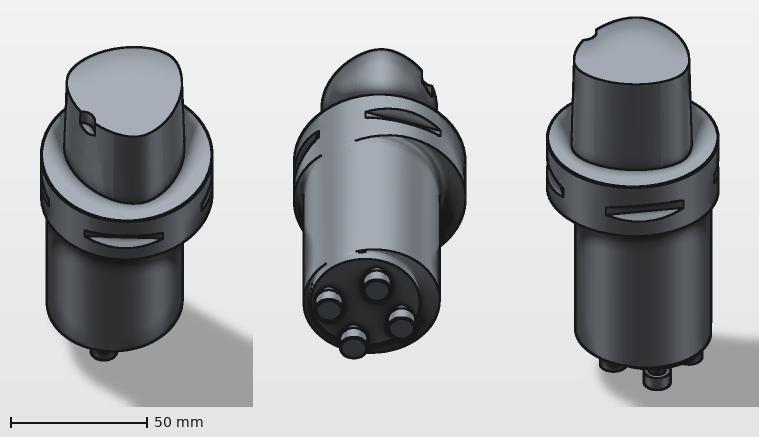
import cadquery as cq
import math

shank_length = 38.0
shank_diameter = 44.2
lobe_eccentricity = 1.4
lobe_count = 3
taper = 1 / 20
lobe_half_angle = 36.0

points_per_edge = 13

notch_diameter = 10.0
notch_wall_y = -17.6
notch_depth = 6.7
notch_tip_angle = 110.0

flange_diameter = 63.0
flange_radius = flange_diameter / 2
flange_chamfer = 0.4
flange_rim_z = -21.9
flange_cone_angle = 10.0
flange_fillet = 4.0

groove_count = 4
groove_floor_distance = 28.0
groove_floor_height = 3.3
groove_center_z = -12.0
groove_flank_angle = 30.0

body_radius = 50.0 / 2
body_x = body_radius - flange_radius
body_rim_z = -89.5
body_cone_angle = 15.0
body_fillet = 1.0
disc_radius = 40.0 / 2
disc_x = disc_radius - flange_radius
disc_bottom_z = -97.0

screw_count = 4
screw_circle_radius = 14.0
screw_diameter = 6.0
screw_head_diameter = 10.0
screw_head_height = 5.7
screw_head_chamfer = 0.4
screw_bottom_z = -107.53


def evenly_spaced_angles(count):
    """Angles in degrees of count features around an axis, the first half a pitch from +X."""
    return [(i + 0.5) * 360 / count for i in range(count)]


def trilobe_wire(z):
    """Closed trilobe outline at height z, one edge for each lobe and each flat side."""
    mean_radius = (shank_diameter - taper * z) / 2
    e = lobe_eccentricity

    def point(angle):
        x = mean_radius * math.cos(angle) - 2 * e * math.cos(2 * angle) + e * math.cos(4 * angle)
        y = mean_radius * math.sin(angle) + 2 * e * math.sin(2 * angle) + e * math.sin(4 * angle)
        return cq.Vector(y, -x, z)

    edges = []
    for lobe_tip in evenly_spaced_angles(lobe_count):
        lobe_start = lobe_tip - lobe_half_angle
        lobe_end = lobe_tip + lobe_half_angle
        next_lobe_start = lobe_start + 360 / lobe_count
        for start, end in ((lobe_start, lobe_end), (lobe_end, next_lobe_start)):
            step = (end - start) / (points_per_edge - 1)
            angles = [math.radians(start + i * step) for i in range(points_per_edge)]
            edges.append(cq.Edge.makeSpline([point(angle) for angle in angles]))
    return cq.Wire.assembleEdges(edges)


def make_shank():
    shank = cq.Solid.makeLoft([trilobe_wire(0), trilobe_wire(shank_length)], True)
    notch_radius = notch_diameter / 2
    tip_height = notch_radius / math.tan(math.radians(notch_tip_angle / 2))
    notch_floor_z = shank_length - notch_depth
    notch = (
        cq.Workplane("XZ")
        .moveTo(0, shank_length)
        .lineTo(notch_radius, shank_length)
        .lineTo(notch_radius, notch_floor_z)
        .lineTo(0, notch_floor_z - tip_height)
        .close()
        .revolve(360, (0, 0, 0), (0, 1, 0))
        .translate((0, notch_wall_y - notch_radius, 0))
    )
    return cq.Workplane(shank).cut(notch)


def cylinder(radius, x, bottom_z, top_z):
    """Vertical cylinder with its seam on the -X side, where the eccentric parts touch."""
    base = cq.Plane(origin=(x, 0, bottom_z), xDir=(-1, 0, 0), normal=(0, 0, 1))
    return cq.Workplane(base).circle(radius).extrude(top_z - bottom_z)


def conical_shoulder(upper_radius, upper_x, lower_radius, lower_x, rim_z, cone_angle, fillet, top_z):
    """Cylinder whose underside is a cone about the offset axis of the next, smaller cylinder.

    A fillet blends the cone into that smaller cylinder. Returns the solid and the height
    at which the fillet meets the smaller cylinder.
    """
    slope = math.radians(cone_angle)
    reach = upper_radius + upper_x - lower_x
    corner_z = rim_z - (reach - lower_radius) * math.tan(slope)
    tangent_length = fillet * math.tan((math.pi / 2 - slope) / 2)
    cone_end = (
        lower_radius + tangent_length * math.cos(slope),
        corner_z + tangent_length * math.sin(slope),
    )
    wall_end = (lower_radius, corner_z - tangent_length)
    center = (lower_radius + fillet, wall_end[1])
    cone_end_angle = math.pi / 2 + slope
    wall_end_angle = math.pi
    middle_angle = (cone_end_angle + wall_end_angle) / 2
    arc_middle = (
        center[0] + fillet * math.cos(middle_angle),
        center[1] + fillet * math.sin(middle_angle),
    )
    coned = (
        cq.Workplane("XZ")
        .moveTo(0, top_z)
        .lineTo(reach, top_z)
        .lineTo(reach, rim_z)
        .lineTo(*cone_end)
        .threePointArc(arc_middle, wall_end)
        .lineTo(0, wall_end[1])
        .close()
        .revolve(360, (0, 0, 0), (0, 1, 0))
        .translate((lower_x, 0, 0))
    )
    return cylinder(upper_radius, upper_x, wall_end[1], top_z).intersect(coned), wall_end[1]


def make_groove_cutter():
    """Straight groove across the +X side of the flange, widening outward."""
    depth = flange_radius - groove_floor_distance
    half_floor = groove_floor_height / 2
    half_mouth = half_floor + depth * math.tan(math.radians(groove_flank_angle))
    return (
        cq.Workplane("XZ")
        .moveTo(groove_floor_distance, groove_center_z - half_floor)
        .lineTo(flange_radius, groove_center_z - half_mouth)
        .lineTo(flange_radius, groove_center_z + half_mouth)
        .lineTo(groove_floor_distance, groove_center_z + half_floor)
        .close()
        .extrude(flange_radius, both=True)
    )


def make_flange():
    flange, bottom_z = conical_shoulder(
        flange_radius, 0, body_radius, body_x, flange_rim_z, flange_cone_angle, flange_fillet, 0
    )
    flange = flange.faces(">Z").edges().chamfer(flange_chamfer)
    cutter = make_groove_cutter()
    for angle in evenly_spaced_angles(groove_count):
        flange = flange.cut(cutter.rotate((0, 0, 0), (0, 0, 1), angle))
    return flange, bottom_z


def make_screw():
    head_top_z = screw_bottom_z + screw_head_height
    head = cylinder(screw_head_diameter / 2, 0, screw_bottom_z, head_top_z)
    head = head.faces("<Z").edges().chamfer(screw_head_chamfer)
    return head.union(cylinder(screw_diameter / 2, 0, head_top_z, disc_bottom_z))


flange, body_top_z = make_flange()
body, disc_top_z = conical_shoulder(
    body_radius, body_x, disc_radius, disc_x, body_rim_z, body_cone_angle, body_fillet, body_top_z
)
disc = cylinder(disc_radius, disc_x, disc_bottom_z, disc_top_z)

result = make_shank().union(flange).union(body).union(disc)
for angle in evenly_spaced_angles(screw_count):
    screw_x = disc_x + screw_circle_radius * math.cos(math.radians(angle))
    screw_y = screw_circle_radius * math.sin(math.radians(angle))
    result = result.union(make_screw().translate((screw_x, screw_y, 0)))